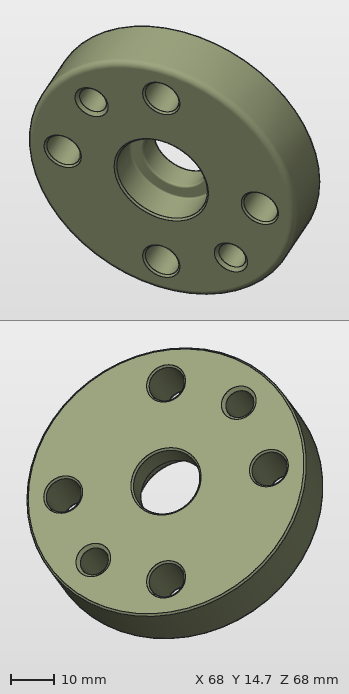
import cadquery as cq
import math

disc_diameter = 68.0
thickness = 14.7
front_round = 1.5
back_chamfer = 0.5

bore_diameter = 16.1
seat_diameter = 23.0
seat_depth = 8.0
bore_chamfer = 0.5
bore_entry_radius = 0.5
seat_corner_radius = 0.4

pitch_radius = 25.0
bolt_hole_diameter = 8.5
bolt_hole_chamfer = 0.5
bolt_hole_angles = (0, 90, 180, 270)
small_hole_diameter = 6.8
small_hole_chamfer = 0.8
small_hole_angles = (135, 315)

front_y = -thickness / 2
back_y = thickness / 2


def make_disc():
    """Disc with a rounded front rim and a chamfered back rim."""
    disc = cq.Workplane("XZ", origin=(0, back_y, 0)).circle(disc_diameter / 2).extrude(thickness)
    return disc.faces("<Y").edges().fillet(front_round).faces(">Y").edges().chamfer(back_chamfer)


def cylinder(diameter, start_y, end_y):
    """Cylinder along Y between two positions."""
    return cq.Workplane("XZ", origin=(0, end_y, 0)).circle(diameter / 2).extrude(end_y - start_y)


def chamfered_hole(diameter, chamfer, x, z):
    """Through-hole cutter, widened by a chamfer at the front and back faces."""
    radius = diameter / 2
    flared_radius = radius + chamfer
    profile = [
        (0, front_y),
        (flared_radius, front_y),
        (radius, front_y + chamfer),
        (radius, back_y - chamfer),
        (flared_radius, back_y),
        (0, back_y),
    ]
    cutter = cq.Workplane("XY").polyline(profile).close().revolve(360, (0, 0), (0, 1))
    return cutter.translate((x, 0, z))


def make_seat():
    """Cutter for the front seat: chamfered mouth and a small rounded floor corner."""
    seat = cylinder(seat_diameter, front_y, front_y + seat_depth)
    seat = seat.faces(">Y").edges().fillet(seat_corner_radius)
    cone = cq.Solid.makeCone(
        seat_diameter / 2 + bore_chamfer,
        seat_diameter / 2,
        bore_chamfer,
        cq.Vector(0, front_y, 0),
        cq.Vector(0, 1, 0),
    )
    return seat.union(cq.Workplane(cone))


def make_bore():
    """Cutter for the bore behind the seat: rounded entry edge and chamfered exit."""
    radius = bore_diameter / 2
    floor_y = front_y + seat_depth
    entry_center = (radius + bore_entry_radius, floor_y + bore_entry_radius)
    arc_reach = bore_entry_radius * math.sqrt(0.5)
    return (
        cq.Workplane("XY")
        .moveTo(0, floor_y)
        .lineTo(radius + bore_entry_radius, floor_y)
        .threePointArc(
            (entry_center[0] - arc_reach, entry_center[1] - arc_reach),
            (radius, floor_y + bore_entry_radius),
        )
        .lineTo(radius, back_y - bore_chamfer)
        .lineTo(radius + bore_chamfer, back_y)
        .lineTo(0, back_y)
        .close()
        .revolve(360, (0, 0), (0, 1))
    )


def cut_hole_circle(body, diameter, chamfer, angles):
    """Cut equal through holes at the given angles on the pitch circle."""
    for angle in angles:
        x = pitch_radius * math.cos(math.radians(angle))
        z = pitch_radius * math.sin(math.radians(angle))
        body = body.cut(chamfered_hole(diameter, chamfer, x, z))
    return body


result = make_disc()
result = result.cut(make_seat())
result = result.cut(make_bore())
result = cut_hole_circle(result, bolt_hole_diameter, bolt_hole_chamfer, bolt_hole_angles)
result = cut_hole_circle(result, small_hole_diameter, small_hole_chamfer, small_hole_angles)